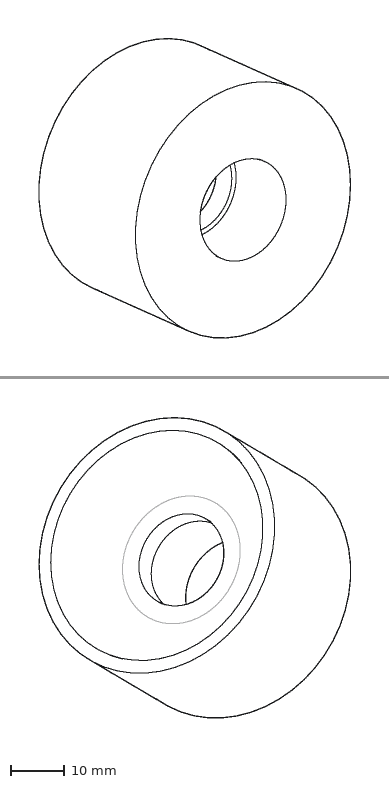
import cadquery as cq
import math

outer_diameter = 50.0
length = 31.0

hub_bore_diameter = 18.0
hub_bore_length = 5.0
seat_bore_diameter = 20.0

recess_diameter = 45.0
recess_depth = 10.0
recess_radius = recess_depth

outer_radius = outer_diameter / 2
hub_bore_radius = hub_bore_diameter / 2
seat_bore_radius = seat_bore_diameter / 2
recess_rim_radius = recess_diameter / 2
hub_face_radius = recess_rim_radius - recess_radius
near_x = -length / 2
far_x = length / 2
hub_face_x = near_x + recess_depth
bore_step_x = hub_face_x + hub_bore_length


def roller_section():
    """Half section in the XY plane, to be turned about the X axis."""
    arc_middle_offset = recess_radius * math.sqrt(0.5)
    arc_middle = (near_x + arc_middle_offset, hub_face_radius + arc_middle_offset)
    return (
        cq.Workplane("XY")
        .moveTo(near_x, outer_radius)
        .lineTo(far_x, outer_radius)
        .lineTo(far_x, seat_bore_radius)
        .lineTo(bore_step_x, seat_bore_radius)
        .lineTo(bore_step_x, hub_bore_radius)
        .lineTo(hub_face_x, hub_bore_radius)
        .lineTo(hub_face_x, hub_face_radius)
        .threePointArc(arc_middle, (near_x, recess_rim_radius))
        .close()
    )


axis_start = (0, 0, 0)
axis_end = (1, 0, 0)
result = roller_section().revolve(360, axis_start, axis_end)